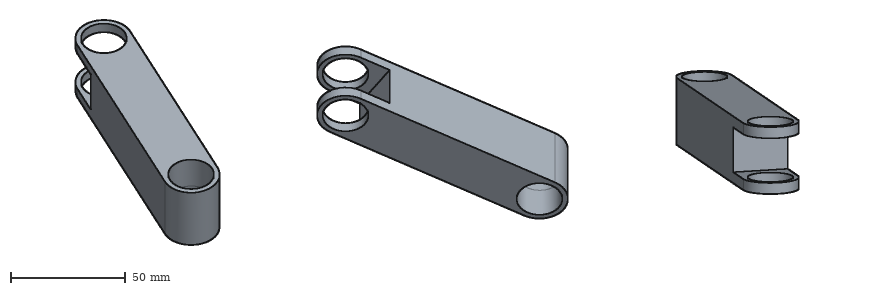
import cadquery as cq

pivot_spacing = 100.0
width = 25.0
height = 30.0
bore_diameter = 20.0
lug_thickness = 5.0
slot_reach = 15.0

length = pivot_spacing + width
fork_end_x = -length / 2
fork_bore_x = -pivot_spacing / 2
solid_bore_x = pivot_spacing / 2
slot_height = height - 2 * lug_thickness
slot_depth = fork_bore_x + slot_reach - fork_end_x


def link_body():
    """Straight bar with full-round ends, centred on the origin."""
    return cq.Workplane("XY").slot2D(length, width).extrude(height / 2, both=True)


def fork_slot():
    """Block that opens the -X end into two equal lugs."""
    return (
        cq.Workplane("XY")
        .box(slot_depth, width, slot_height, centered=(False, True, True))
        .translate((fork_end_x, 0, 0))
    )


def bores():
    """Vertical through bores, one concentric with each rounded end."""
    return (
        cq.Workplane("XY")
        .pushPoints([(fork_bore_x, 0), (solid_bore_x, 0)])
        .circle(bore_diameter / 2)
        .extrude(height / 2, both=True)
    )


result = link_body().cut(fork_slot()).cut(bores())